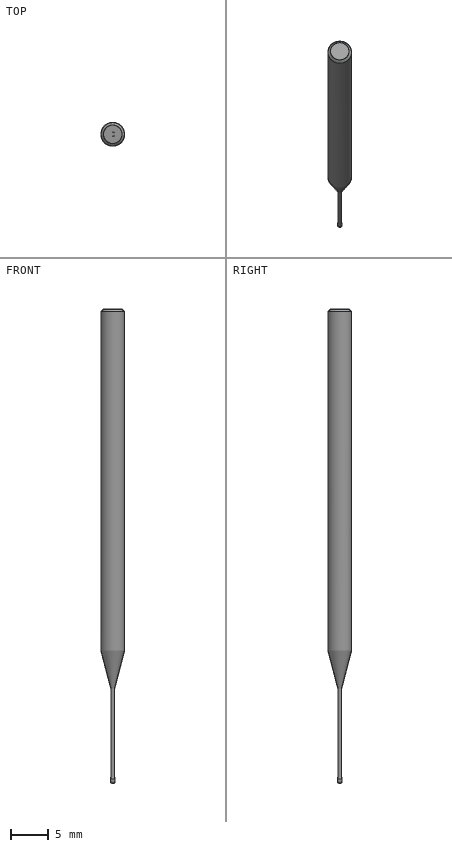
import cadquery as cq
import math

overall_length = 63.5
shank_radius = 3.175 / 2
shank_chamfer = 0.35
shank_start = 17.77
neck_radius = 0.26
neck_end = 12.7
neck_taper_length = 0.2
cutter_radius = 0.635 / 2
cutting_length = 0.61

neck_start = cutting_length + neck_taper_length


def revolve_profile(profile):
    """Turn a radius/height profile around the Z axis."""
    return profile.close().revolve(360, (0, 0, 0), (0, 1, 0))


def make_holder():
    """Chamfered shank, conical transition and slender neck as one turned body."""
    profile = (
        cq.Workplane("XZ")
        .moveTo(0, cutting_length)
        .lineTo(cutter_radius, cutting_length)
        .lineTo(neck_radius, neck_start)
        .lineTo(neck_radius, neck_end)
        .lineTo(shank_radius, shank_start)
        .lineTo(shank_radius, overall_length - shank_chamfer)
        .lineTo(shank_radius - shank_chamfer, overall_length)
        .lineTo(0, overall_length)
    )
    return revolve_profile(profile)


def make_cutting_head():
    """Ball-nosed cylinder at the tip of the tool."""
    arc_middle = cutter_radius * math.sqrt(0.5)
    profile = (
        cq.Workplane("XZ")
        .moveTo(0, 0)
        .threePointArc(
            (arc_middle, cutter_radius - arc_middle),
            (cutter_radius, cutter_radius),
        )
        .lineTo(cutter_radius, cutting_length)
        .lineTo(0, cutting_length)
    )
    return revolve_profile(profile)


holder = make_holder()
cutting_head = make_cutting_head()

result = cq.Compound.makeCompound([holder.val(), cutting_head.val()])